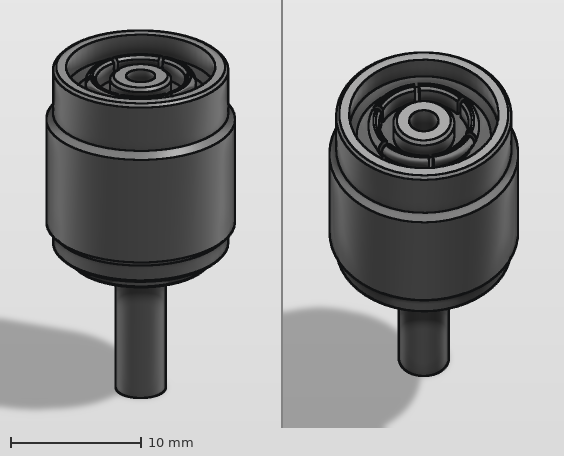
import cadquery as cq

total_height = 27.25
sleeve_top = total_height - 4.45
sleeve_bottom = total_height - 13.15
coupling_bottom = total_height - 15.18
collar_bottom = total_height - 16.2

sleeve_radius = 7.25
rim_radius = 6.73
sleeve_chamfer = sleeve_radius - rim_radius
rim_chamfer = 0.25
collar_radius = 5.53
collar_chamfer = 0.15
cable_radius = 1.93

recess_radius = 5.72
floor_radius = 5.15
floor_z = total_height - 2.43
recess_cone_top = floor_z + recess_radius - floor_radius

contact_top = total_height - 0.75
boss_radius = 2.35
boss_chamfer = 0.27
socket_radius = 1.12
socket_depth = 3.27

finger_inner_radius = 3.43
finger_neck_radius = 3.87
bead_bulge = 0.38
bead_height = 1.2
finger_chamfer = 0.25
slot_width = 0.38
slot_count = 6


def revolve_profile(profile):
    """Turn a closed radius-height outline about the Z axis."""
    return profile.close().revolve(360, (0, 0, 0), (0, 1, 0))


def make_body():
    outline = [
        (0, 0),
        (cable_radius, 0),
        (cable_radius, collar_bottom),
        (collar_radius - collar_chamfer, collar_bottom),
        (collar_radius, collar_bottom + collar_chamfer),
        (collar_radius, coupling_bottom),
        (rim_radius - rim_chamfer, coupling_bottom),
        (rim_radius, coupling_bottom + rim_chamfer),
        (rim_radius, sleeve_bottom - sleeve_chamfer),
        (sleeve_radius, sleeve_bottom),
        (sleeve_radius, sleeve_top),
        (rim_radius, sleeve_top + sleeve_chamfer),
        (rim_radius, total_height - rim_chamfer),
        (rim_radius - rim_chamfer, total_height),
        (recess_radius, total_height),
        (recess_radius, recess_cone_top),
        (floor_radius, floor_z),
        (0, floor_z),
    ]
    return revolve_profile(cq.Workplane("XZ").polyline(outline))


def make_boss():
    boss = cq.Workplane("XY", origin=(0, 0, floor_z)).circle(boss_radius).extrude(contact_top - floor_z)
    return boss.faces(">Z").chamfer(boss_chamfer)


def make_fingers():
    bead_z = contact_top - bead_height / 2
    ring = revolve_profile(
        cq.Workplane("XZ")
        .moveTo(finger_inner_radius, floor_z)
        .lineTo(finger_neck_radius, floor_z)
        .lineTo(finger_neck_radius, contact_top - bead_height)
        .threePointArc((finger_neck_radius + bead_bulge, bead_z), (finger_neck_radius, contact_top))
        .lineTo(finger_inner_radius + finger_chamfer, contact_top)
        .lineTo(finger_inner_radius, contact_top - finger_chamfer)
    )
    slot_length = 2 * floor_radius
    for index in range(slot_count // 2):
        slot = (
            cq.Workplane("XY", origin=(0, 0, floor_z))
            .rect(slot_length, slot_width)
            .extrude(contact_top - floor_z)
            .rotate((0, 0, 0), (0, 0, 1), index * 360 / slot_count)
        )
        ring = ring.cut(slot)
    return ring


def make_socket():
    return cq.Workplane("XY", origin=(0, 0, contact_top)).circle(socket_radius).extrude(-socket_depth)


result = make_body().union(make_boss()).union(make_fingers()).cut(make_socket())